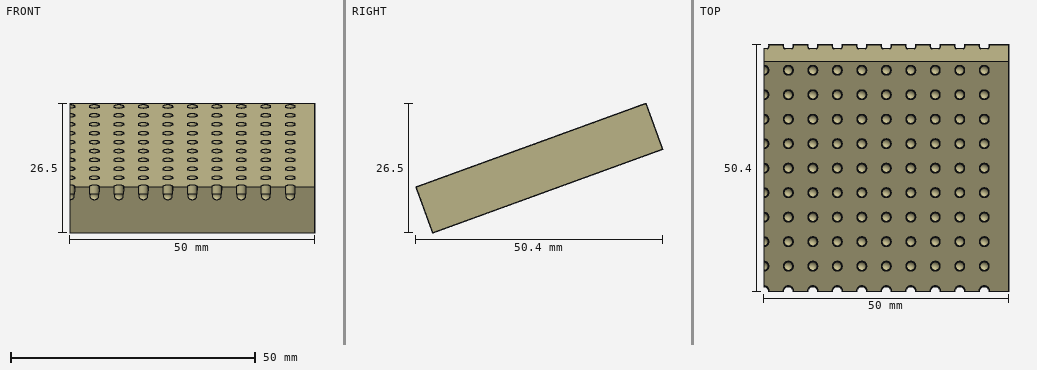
import cadquery as cq
import math

side = 50.0
thickness = side / 5
tilt = 20

hole_diameter = 2
hole_radius = hole_diameter / 2
bore_reach = 1.5
ball_depth = 2
spacing = side / 10
column_count = 10
row_count = 11

sin_tilt = math.sin(math.radians(tilt))
cos_tilt = math.cos(math.radians(tilt))
tan_tilt = sin_tilt / cos_tilt

top_back_y = side / 2 * cos_tilt - thickness / 2 * sin_tilt
top_back_z = side / 2 * sin_tilt + thickness / 2 * cos_tilt


def surface_height(y):
    """Height of the top face, or of the steep back face beyond the top face's edge."""
    beyond_edge = y - top_back_y
    if beyond_edge <= 0:
        return top_back_z + beyond_edge * tan_tilt
    return top_back_z - beyond_edge / tan_tilt


def make_hole_cutter():
    """Bore and ball for one hole whose surface point is the origin."""
    bore = cq.Workplane("XY").workplane(offset=-bore_reach).circle(hole_radius).extrude(2 * bore_reach)
    ball = cq.Workplane("XY").sphere(hole_radius).translate((0, 0, -ball_depth))
    return bore.union(ball).rotate((0, 0, 0), (0, 0, 1), 180).val()


block = cq.Workplane("XY").box(side, side, thickness).rotate((0, 0, 0), (1, 0, 0), tilt)

hole_cutter = make_hole_cutter()
cutters = []
for column in range(column_count):
    for row in range(row_count):
        x = -side / 2 + column * spacing
        y = -side / 2 + row * spacing
        cutters.append(hole_cutter.translate(cq.Vector(x, y, surface_height(y))))

drilled_block = block.val().cut(*cutters)
result = cq.Workplane(obj=drilled_block.Solids()[0])